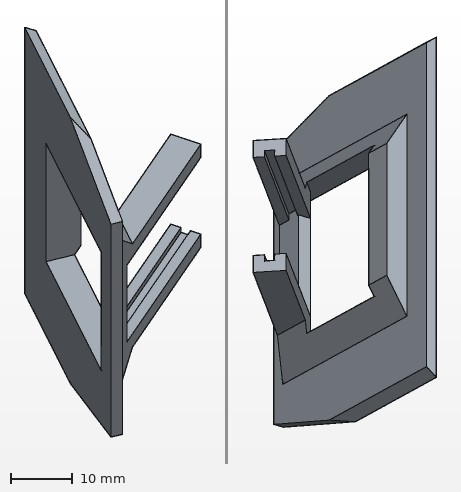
import cadquery as cq
import math

plate_width = 41.9
plate_height = 60.0
plate_thickness = 2.0
total_depth = 24.1
taper_start = 22.15
taper_drop = 6.0
bevel_drop = 1.4

window_left = 10.4
window_right = 37.15
window_height = 26.65

rim_left = 5.4
rim_height = 4.0
rim_base_height = 35.65
rim_top_height = 23.3
cross_bar_height = 2.6

arm_thickness = 5.4
arm_width = 3.0
arm_foot_right = 39.35
arm_run = arm_thickness * math.sqrt(2)
arm_foot_left = arm_foot_right - arm_run
arm_gap = rim_top_height - 2 * arm_width
cross_bar_left = arm_foot_left - 0.2

groove_width = 1.7
groove_depth = 1.1

reach = total_depth - plate_thickness


def box(x_min, x_max, y_min, y_max, height):
    """Box centred on the mid-height plane."""
    return (
        cq.Workplane("XY")
        .box(x_max - x_min, y_max - y_min, height, centered=(False, False, True))
        .translate((x_min, y_min, 0))
    )


def extrude_height(points, height):
    """Prism along Z, centred, from an outline measured from the plate's back."""
    return (
        cq.Workplane("XY")
        .polyline(points)
        .close()
        .extrude(height / 2, both=True)
        .translate((0, plate_thickness, 0))
    )


def extrude_width(points):
    """Prism along X over the plate width from a (Y, Z) outline."""
    return cq.Workplane("YZ").polyline(points).close().extrude(plate_width)


def make_plate():
    top = plate_height / 2
    side = top - taper_drop
    outline = [
        (0, -top),
        (taper_start, -top),
        (plate_width, -side),
        (plate_width, side),
        (taper_start, top),
        (0, top),
    ]
    blank = cq.Workplane("XZ").polyline(outline).close().extrude(-plate_thickness)
    bevel = extrude_width([
        (0, -top),
        (plate_thickness, bevel_drop - top),
        (plate_thickness, top - bevel_drop),
        (0, top),
    ])
    window = box(window_left, window_right, 0, plate_thickness, window_height)
    return blank.intersect(bevel).cut(window)


def slab_outline(inner_offset, outer_offset, bottom=0):
    """Leaning strip lying between two distances from the inner arm face.

    It rises from the level bottom to the square end of the arm.
    """
    foot_inner = arm_foot_left + inner_offset * math.sqrt(2)
    foot_outer = arm_foot_left + outer_offset * math.sqrt(2)
    inner_top = reach - (arm_thickness - inner_offset) / math.sqrt(2)
    outer_top = reach - (arm_thickness - outer_offset) / math.sqrt(2)
    return [
        (foot_inner - bottom, bottom),
        (foot_outer - bottom, bottom),
        (foot_outer - outer_top, outer_top),
        (foot_inner - inner_top, inner_top),
    ]


def make_rim():
    rim_back = plate_thickness + rim_height
    flanks = extrude_width([
        (plate_thickness, -rim_base_height / 2),
        (rim_back, -rim_top_height / 2),
        (rim_back, rim_top_height / 2),
        (plate_thickness, rim_base_height / 2),
    ])
    side_outline = [
        (rim_left, 0),
        (arm_foot_right, 0),
        (arm_foot_right - rim_height, rim_height),
        (rim_left, rim_height),
    ]
    frame = extrude_height(side_outline, rim_base_height)
    frame = frame.cut(box(window_left, plate_width, plate_thickness, rim_back, window_height))
    foot = extrude_height(slab_outline(0, arm_thickness), rim_base_height)
    gap_left = box(window_left, cross_bar_left, plate_thickness, rim_back, arm_gap)
    gap_above = box(
        window_left, plate_width, plate_thickness + cross_bar_height, rim_back, arm_gap
    )
    foot = foot.cut(gap_left).cut(gap_above)
    return frame.union(foot).intersect(flanks)


def make_arms():
    pair = extrude_height(slab_outline(0, arm_thickness), rim_top_height)
    gap = box(0, plate_width, 0, total_depth, arm_gap)
    return pair.cut(gap)


def make_grooves():
    """One strip across the gap that reaches into both arms, down to the cross bar."""
    groove_start = (arm_thickness - groove_width) / 2
    groove_end = groove_start + groove_width
    outline = slab_outline(groove_start, groove_end, cross_bar_height)
    return extrude_height(outline, arm_gap + 2 * groove_depth)


result = make_plate().union(make_rim()).union(make_arms()).cut(make_grooves())